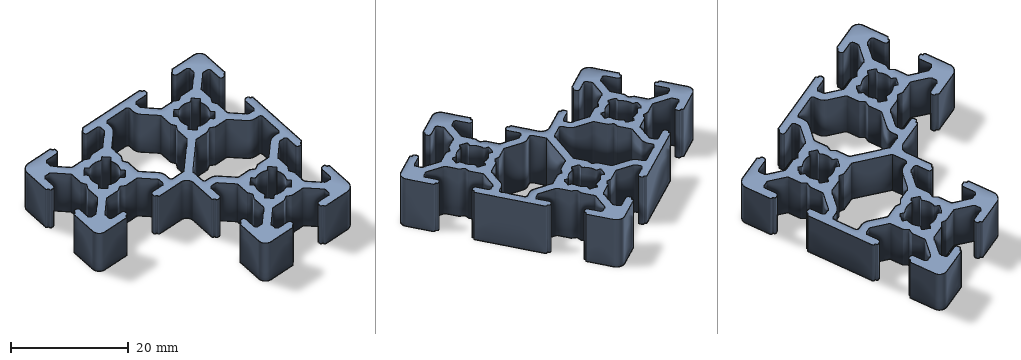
import cadquery as cq
import math

cell = 20.0
half_cell = cell / 2
length = 10.0
corner_radius = 1.5

wall = 1.5
mouth_half = 3.0
step_half = 3.5
step_depth = 0.45
slot_half = 6.0
web_offset = wall / math.sqrt(2)
inner_radius = 0.5
web_radius = 0.5
slot_bend_radius = 0.5
cavity_bend_radius = slot_bend_radius + wall
tip_outer_radius = 0.25
tip_inner_radius = 0.5
step_radius = 0.2
step_root_radius = 0.2

core_half = 4.5
groove_depth = 0.5
groove_angle = 120.0
groove_half = groove_depth * math.tan(math.radians(groove_angle / 2))
groove_radius = 0.25
bore_radius = 2.75
notch_reach = 3.5
notch_width = 1.6
notch_radius = 0.2
notch_mouth_radius = 0.25

lip_inner = half_cell - wall
core_corner = core_half - web_offset
cavity_side = slot_half + wall

corner_cell = (-half_cell, half_cell)
right_cell = (half_cell, half_cell)
lower_cell = (-half_cell, -half_cell)

FACE_UP, FACE_LEFT, FACE_DOWN, FACE_RIGHT = 0, 90, 180, 270
slot_faces = [
    (corner_cell, (FACE_UP, FACE_LEFT)),
    (right_cell, (FACE_UP, FACE_RIGHT, FACE_DOWN)),
    (lower_cell, (FACE_LEFT, FACE_DOWN, FACE_RIGHT)),
]


def rounded_prism(corners):
    """Extrude a closed polygon of (x, y, radius) corners; radius 0 stays sharp."""
    stretches = []
    for index, (x, y, radius) in enumerate(corners):
        corner = cq.Vector(x, y)
        before = cq.Vector(*corners[index - 1][:2])
        after = cq.Vector(*corners[(index + 1) % len(corners)][:2])
        to_before = (before - corner).normalized()
        to_after = (after - corner).normalized()
        if radius == 0:
            stretches.append((corner,))
            continue
        half_angle = to_before.getAngle(to_after) / 2
        setback = radius / math.tan(half_angle)
        bulge = radius / math.sin(half_angle) - radius
        bisector = (to_before + to_after).normalized()
        arc_start = corner + to_before * setback
        arc_middle = corner + bisector * bulge
        arc_end = corner + to_after * setback
        stretches.append((arc_start, arc_middle, arc_end))

    sketch = cq.Workplane("XY").moveTo(*stretches[0][-1].toTuple()[:2])
    for stretch in stretches[1:] + stretches[:1]:
        sketch = sketch.lineTo(*stretch[0].toTuple()[:2])
        if len(stretch) > 1:
            sketch = sketch.threePointArc(stretch[1].toTuple()[:2], stretch[2].toTuple()[:2])
    return sketch.close().extrude(length)


def at_cell(shape, center):
    return shape.translate((center[0], center[1], 0))


def body():
    """Solid L with rounded corners."""
    return rounded_prism([
        (-cell, -cell, corner_radius),
        (0, -cell, corner_radius),
        (0, 0, corner_radius),
        (cell, 0, corner_radius),
        (cell, cell, corner_radius),
        (-cell, cell, corner_radius),
    ])


def slot():
    """T-slot opening toward +Y, with its cell centre at the origin."""
    flare = step_half + step_depth
    outside = half_cell + step_depth
    right_half = [
        (flare, outside, 0),
        (flare, half_cell, 0),
        (step_half, half_cell, step_radius),
        (step_half, half_cell - step_depth, step_root_radius),
        (mouth_half, half_cell - step_depth, tip_outer_radius),
        (mouth_half, lip_inner, tip_inner_radius),
        (slot_half, lip_inner, inner_radius),
        (slot_half, slot_half + web_offset, slot_bend_radius),
        (core_corner, core_half, web_radius),
        (groove_half, core_half, groove_radius),
    ]
    left_half = [(-x, y, radius) for x, y, radius in reversed(right_half)]
    groove_bottom = (0, core_half - groove_depth, groove_radius)
    return rounded_prism(right_half + [groove_bottom] + left_half)


def bore():
    """Round bore with a square-ended notch on each diagonal."""
    notch = (
        cq.Workplane("XY")
        .rect(2 * notch_reach, notch_width)
        .extrude(length)
        .edges("|Z")
        .fillet(notch_radius)
    )
    shape = cq.Workplane("XY").circle(bore_radius).extrude(length)
    for turn in (45, 135):
        shape = shape.union(notch.rotate((0, 0, 0), (0, 0, 1), turn))
    reach_limit = (bore_radius + notch_reach) / 2
    mouth_edges = [
        edge for edge in shape.edges("|Z").vals()
        if math.hypot(edge.Center().x, edge.Center().y) < reach_limit
    ]
    return shape.newObject(mouth_edges).fillet(notch_mouth_radius)


def cavity():
    """Hollow between the corner and right cells, centred between them in X."""
    core_face = half_cell - core_half
    side = half_cell - cavity_side
    bend = cavity_side - web_offset
    long_web_end = web_offset + lip_inner - half_cell
    return rounded_prism([
        (side, lip_inner, inner_radius),
        (side, bend, cavity_bend_radius),
        (core_face, core_corner, web_radius),
        (core_face, groove_half, groove_radius),
        (core_face + groove_depth, 0, groove_radius),
        (core_face, -groove_half, groove_radius),
        (core_face, -core_corner, web_radius),
        (side, -bend, cavity_bend_radius),
        (side, -lip_inner, inner_radius),
        (long_web_end, -lip_inner, 0),
        (-core_face, -core_corner, web_radius),
        (-core_face, -groove_half, groove_radius),
        (-core_face - groove_depth, 0, groove_radius),
        (-core_face, groove_half, groove_radius),
        (-core_face, core_corner, web_radius),
        (-side, bend, cavity_bend_radius),
        (-side, lip_inner, inner_radius),
    ]).translate((0, half_cell, 0))


result = body()

for center, turns in slot_faces:
    result = result.cut(at_cell(bore(), center))
    for turn in turns:
        result = result.cut(at_cell(slot().rotate((0, 0, 0), (0, 0, 1), turn), center))

upper_cavity = cavity()
left_cavity = upper_cavity.rotate((0, 0, 0), (-1, 1, 0), 180).translate((0, 0, length))
result = result.cut(upper_cavity).cut(left_cavity)